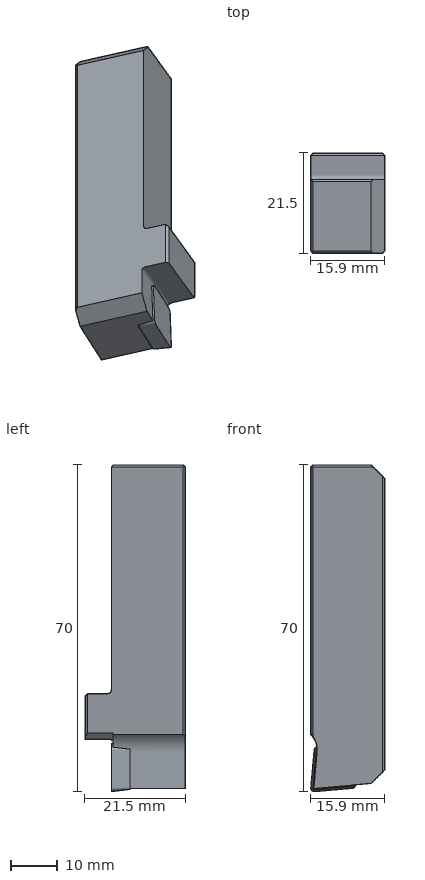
import cadquery as cq
import math

width = 15.9
height = 69.95
shank_depth = 15.9
total_depth = 21.5
corner_chamfer = 2.95
foot_top = 21.0
foot_bottom = 11.2
foot_fillet = 0.85
foot_relief_width = 0.9
foot_relief_top = 12.5
edge_chamfer = 0.5
edge_chamfer_y = 0.55

head_depth = 15.45
head_inset = 0.7
groove_bottom = 8.5
groove_top = 12.25

nose_angle = 80.0
clearance_angle = 7.0
insert_edge = 9.65
insert_thickness = 4.0
nose_radius = 0.8

lean = math.radians((90.0 - nose_angle) / 2)
half_nose = math.radians(nose_angle / 2)


def diagonal_shift(inset):
    """X and Z shift of the sharp corner when both its edges move inward by inset."""
    return inset / math.sin(half_nose) * math.cos(math.pi / 4)


sharp_corner = nose_radius - diagonal_shift(nose_radius)
head_corner = sharp_corner + diagonal_shift(head_inset)


def make_insert():
    """Rhombic plate with clearance on all sides, widest at the rake face."""
    along = insert_edge * math.cos(lean)
    across = insert_edge * math.sin(lean)
    rhombus = [
        (sharp_corner, sharp_corner),
        (sharp_corner + along, sharp_corner + across),
        (sharp_corner + along + across, sharp_corner + along + across),
        (sharp_corner + across, sharp_corner + along),
    ]
    rake_face = cq.Sketch().polygon(rhombus + rhombus[:1]).vertices().fillet(nose_radius)
    return (
        cq.Workplane("XZ", origin=(0, shank_depth, 0))
        .placeSketch(rake_face)
        .extrude(insert_thickness, taper=clearance_angle)
    )


def front_profile():
    """Outline in X and Z: cut corners, leaning head walls and chip groove."""
    cut_x = width - corner_chamfer
    head_base = head_corner + (cut_x - head_corner) * math.tan(lean)
    wall_x = head_corner + (groove_bottom - head_corner) * math.tan(lean)
    return (
        cq.Workplane("XZ")
        .moveTo(0, height)
        .lineTo(cut_x, height)
        .lineTo(width, height - corner_chamfer)
        .lineTo(width, head_base + corner_chamfer)
        .lineTo(cut_x, head_base)
        .lineTo(head_corner, head_corner)
        .lineTo(wall_x, groove_bottom)
        .tangentArcPoint((0, groove_top), relative=False)
        .close()
        .extrude(-total_depth)
    )


def side_profile():
    """Outline in Y and Z: shank, foot on the +Y side and recessed head."""
    bend = foot_fillet
    return (
        cq.Workplane("YZ")
        .lineTo(head_depth, 0)
        .lineTo(head_depth, foot_bottom - bend)
        .radiusArc((head_depth + bend, foot_bottom), bend)
        .lineTo(total_depth, foot_bottom)
        .lineTo(total_depth, foot_top)
        .lineTo(shank_depth + bend, foot_top)
        .radiusArc((shank_depth, foot_top + bend), bend)
        .lineTo(shank_depth, height)
        .lineTo(0, height)
        .close()
        .extrude(width)
    )


def plan_profile():
    """Rectangle in X and Y with chamfered upright edges."""
    inner_x = width - edge_chamfer
    inner_y = total_depth - edge_chamfer_y
    outline = [
        (edge_chamfer, 0),
        (inner_x, 0),
        (width, edge_chamfer_y),
        (width, inner_y),
        (inner_x, total_depth),
        (edge_chamfer, total_depth),
        (0, inner_y),
        (0, edge_chamfer_y),
    ]
    return cq.Workplane("XY").polyline(outline).close().extrude(height)


def foot_relief():
    """Wedge that bevels the underside of the foot along the -X side."""
    return (
        cq.Workplane("XZ", origin=(0, head_depth, 0))
        .moveTo(0, foot_bottom)
        .lineTo(foot_relief_width, foot_bottom)
        .lineTo(0, foot_relief_top)
        .close()
        .extrude(head_depth - total_depth)
    )


def make_holder(insert):
    """Shank with foot and head, pocketed to the shape of the insert."""
    blank = front_profile().intersect(side_profile())
    blank = blank.faces(">Z").edges("<X or <Y or >Y").chamfer(edge_chamfer)
    foot_edge = cq.selectors.NearestToPointSelector((width / 2, total_depth, foot_top))
    blank = blank.edges(foot_edge).chamfer(edge_chamfer, edge_chamfer_y)
    return blank.intersect(plan_profile()).cut(foot_relief()).cut(insert)


insert = make_insert()
holder = make_holder(insert)
result = cq.Compound.makeCompound([*holder.solids().vals(), *insert.solids().vals()])